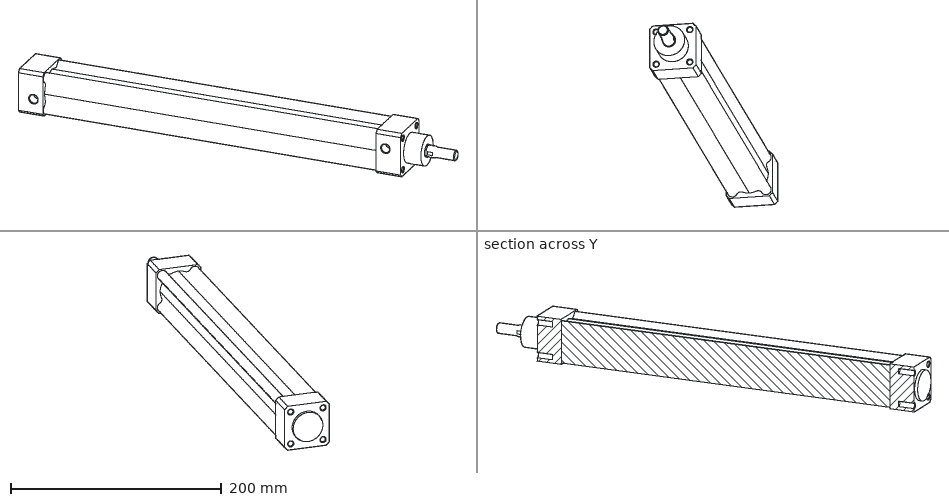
import cadquery as cq
import math

total_length = 446.0
cap_length = 25.5
rear_boss_length = 3.0
front_boss_length = 18.0
rod_length = 29.0

cap_width = 45.0
cap_edge_chamfer = 3.0
boss_diameter = 30.0
rod_collar_diameter = 12.5
rod_collar_length = 1.5
screw_spacing = 32.5
screw_hole_diameter = 5.0
screw_countersink_diameter = 6.2
screw_hole_depth = 16.0
port_diameter = 8.5
port_countersink_diameter = 10.0
port_depth = 11.0
port_to_outer_face = 15.5
port_offset = 5.5

barrel_radius = 18.5
rib_radius = 5.0
rib_blend_radius = 4.0
ridge_half_width = 3.0

rod_diameter = 11.5
shoulder_length = 9.0
shoulder_chamfer = 2.2
thread_diameter = 10.3
thread_chamfer = 1.0
flat_width = 11.0
flat_start = 1.5
flat_length = shoulder_length - shoulder_chamfer - flat_start

rear_cap_start = rear_boss_length
tube_start = rear_cap_start + cap_length
rod_start = total_length - rod_length
front_boss_end = rod_start - rod_collar_length
front_cap_end = front_boss_end - front_boss_length
front_cap_start = front_cap_end - cap_length
tube_length = front_cap_start - tube_start


def section_plane(x):
    """Plane at station x that faces +X, with local axes along Y and Z."""
    return cq.Workplane(cq.Plane(origin=(x, 0, 0), xDir=(0, 1, 0), normal=(1, 0, 0)))


def countersunk_drill(axis, depth, diameter, countersink_diameter):
    """Solid of a drilled hole that starts at the origin, runs along axis and has a 45 degree countersink."""
    mouth_radius = countersink_diameter / 2
    hole_radius = diameter / 2
    mouth = cq.Vector(0, 0, 0)
    drill = cq.Solid.makeCylinder(hole_radius, depth, mouth, axis)
    cone = cq.Solid.makeCone(mouth_radius, hole_radius, mouth_radius - hole_radius, mouth, axis)
    return drill.fuse(cone)


def make_cap(start, outer_face, inward, boss_length, port_z):
    """Square end cap with a round boss, four countersunk screw holes and a port in the -Y side.

    inward is +1 or -1, the direction along X from the outer face into the cap.
    """
    block = section_plane(start).rect(cap_width, cap_width).extrude(cap_length)
    block = block.edges("|X").chamfer(cap_edge_chamfer)

    boss = section_plane(outer_face).circle(boss_diameter / 2).extrude(-inward * boss_length)
    cap = block.union(boss)

    screw_hole = countersunk_drill(
        cq.Vector(inward, 0, 0), screw_hole_depth, screw_hole_diameter, screw_countersink_diameter
    )
    for y in (-screw_spacing / 2, screw_spacing / 2):
        for z in (-screw_spacing / 2, screw_spacing / 2):
            cap = cap.cut(cq.Workplane(screw_hole.translate(cq.Vector(outer_face, y, z))))

    port = countersunk_drill(cq.Vector(0, 1, 0), port_depth, port_diameter, port_countersink_diameter)
    port_x = outer_face + inward * port_to_outer_face
    return cap.cut(cq.Workplane(port.translate(cq.Vector(port_x, -cap_width / 2, port_z))))


def polar_point(radius, angle, center=(0, 0)):
    """Point at the given radius and angle around a center."""
    return (center[0] + radius * math.cos(angle), center[1] + radius * math.sin(angle))


def make_tube():
    """Tube with a round rib blended into the barrel at each corner and a low ridge along each side.

    Going round from one side, the outline follows the ridge flank, the barrel, a concave blend and
    the rib, then the same blend, barrel and flank in reverse order up to the next side.
    """
    ridge_angle = math.asin(ridge_half_width / barrel_radius)
    crest_radius = barrel_radius / math.cos(ridge_angle)

    rib_distance = screw_spacing / math.sqrt(2)
    blend_distance = barrel_radius + rib_blend_radius
    rib_to_blend = rib_radius + rib_blend_radius
    blend_angle = math.acos(
        (blend_distance**2 + rib_distance**2 - rib_to_blend**2) / (2 * blend_distance * rib_distance)
    )

    outline = section_plane(tube_start).moveTo(crest_radius, 0)
    for corner in range(4):
        side = corner * math.pi / 2
        diagonal = side + math.pi / 4
        next_side = side + math.pi / 2
        rib_center = polar_point(rib_distance, diagonal)
        blend_ends = {}
        blend_middles = {}
        for turn in (-1, 1):
            blend_center = polar_point(blend_distance, diagonal + turn * blend_angle)
            toward_rib = math.atan2(rib_center[1] - blend_center[1], rib_center[0] - blend_center[0])
            toward_barrel = math.atan2(-blend_center[1], -blend_center[0])
            blend_turn = math.remainder(toward_rib - toward_barrel, 2 * math.pi)
            blend_ends[turn] = polar_point(rib_blend_radius, toward_rib, blend_center)
            blend_middles[turn] = polar_point(rib_blend_radius, toward_barrel + blend_turn / 2, blend_center)

        barrel_middle = (ridge_angle + math.pi / 4 - blend_angle) / 2
        outline = (
            outline.lineTo(*polar_point(barrel_radius, side + ridge_angle))
            .threePointArc(
                polar_point(barrel_radius, side + barrel_middle),
                polar_point(barrel_radius, diagonal - blend_angle),
            )
            .threePointArc(blend_middles[-1], blend_ends[-1])
            .threePointArc(polar_point(rib_distance + rib_radius, diagonal), blend_ends[1])
            .threePointArc(blend_middles[1], polar_point(barrel_radius, diagonal + blend_angle))
            .threePointArc(
                polar_point(barrel_radius, next_side - barrel_middle),
                polar_point(barrel_radius, next_side - ridge_angle),
            )
            .lineTo(*polar_point(crest_radius, next_side))
        )
    return outline.close().extrude(tube_length)


def make_rod():
    """Rod end: a shoulder with two wrench flats facing -Y and +Y, then a chamfered thread."""
    shoulder = section_plane(rod_start).circle(rod_diameter / 2).extrude(shoulder_length)
    shoulder_step = (rod_diameter - thread_diameter) / 2
    shoulder = shoulder.faces(">X").chamfer(shoulder_chamfer, shoulder_step)
    thread = section_plane(rod_start).circle(thread_diameter / 2).extrude(rod_length)
    thread = thread.faces(">X").chamfer(thread_chamfer)
    rod = shoulder.union(thread)

    flat_band = section_plane(rod_start + flat_start).rect(rod_diameter, rod_diameter).extrude(flat_length)
    kept_core = section_plane(rod_start + flat_start).rect(flat_width, rod_diameter).extrude(flat_length)
    return rod.cut(flat_band.cut(kept_core))


rear_cap = make_cap(rear_cap_start, rear_cap_start, 1, rear_boss_length, -port_offset)
front_cap = make_cap(front_cap_start, front_cap_end, -1, front_boss_length, port_offset)
rod_collar = section_plane(front_boss_end).circle(rod_collar_diameter / 2).extrude(rod_collar_length)
front_cap = front_cap.union(rod_collar)
tube = make_tube()
rod = make_rod()

result = cq.Compound.makeCompound([rear_cap.val(), tube.val(), front_cap.val(), rod.val()])